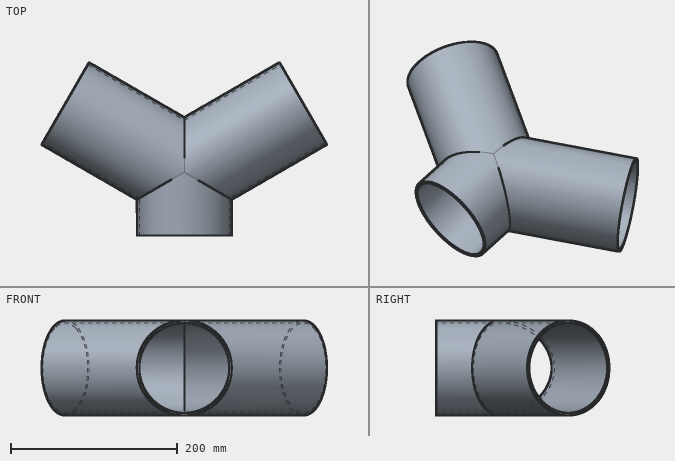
import math

import cadquery as cq

overall_width = 343
overall_depth = 208.3
outer_diameter = 114.3
bore_diameter = 108.0
arm_angle = 30

outer_radius = outer_diameter / 2
arm_cos = math.cos(math.radians(arm_angle))
arm_sin = math.sin(math.radians(arm_angle))
arm_length = (overall_width / 2 - outer_radius * arm_sin) / arm_cos
stem_length = overall_depth - arm_length * arm_sin - outer_radius * arm_cos


def branch(diameter, length, angle):
    """Solid cylinder from the origin, its axis turned by angle from +X about Z."""
    cylinder = cq.Workplane("YZ").circle(diameter / 2).extrude(length)
    return cylinder.rotate((0, 0, 0), (0, 0, 1), angle)


def joined_branches(diameter):
    """Two arms and the stem along -Y, merged into one mitred solid."""
    right_arm = branch(diameter, arm_length, arm_angle)
    left_arm = branch(diameter, arm_length, 180 - arm_angle)
    stem = branch(diameter, stem_length, -90)
    return right_arm.union(left_arm).union(stem)


result = joined_branches(outer_diameter).cut(joined_branches(bore_diameter))